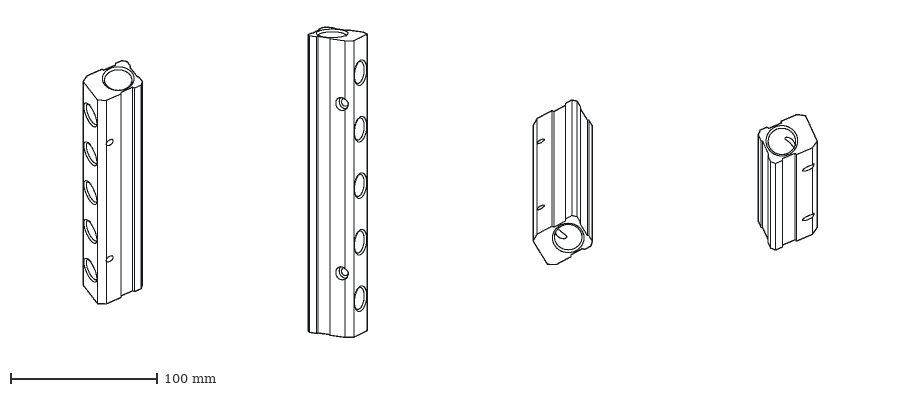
import cadquery as cq

length = 210.0
width = 26.0
depth = 35.0
half_width = width / 2
front_chamfer_x = 3.2
front_chamfer_y = 5.0
back_chamfer = 2.5

side_channel_depth = 1.3
side_channel_start = 16.8
side_channel_end = 27.3
side_channel_slope = 0.6
back_channel_depth = 0.8
back_channel_half_floor = 5.0
back_channel_half_mouth = 5.7

bore_diameter = 18.7
bore_mouth_diameter = 21.6
bore_y = 22.0

port_count = 5
port_pitch = 40.0
port_diameter = 15.1
port_mouth_diameter = 17.6

mount_pitch = 120.0
mount_y = 7.8
mount_diameter = 5.5
counterbore_diameter = 9.0
counterbore_depth = 5.0


def make_bar():
    """Extrude the symmetric bar section along Z."""
    channel_x = half_width - side_channel_depth
    right_half = [
        (half_width - front_chamfer_x, 0),
        (half_width, front_chamfer_y),
        (half_width, side_channel_start),
        (channel_x, side_channel_start + side_channel_slope),
        (channel_x, side_channel_end - side_channel_slope),
        (half_width, side_channel_end),
        (half_width, depth - back_chamfer),
        (half_width - back_chamfer, depth),
        (back_channel_half_mouth, depth),
        (back_channel_half_floor, depth - back_channel_depth),
    ]
    left_half = [(-x, y) for x, y in reversed(right_half)]
    return cq.Workplane("XY").polyline(right_half + left_half).close().extrude(length)


def countersunk_cutter(point, direction, diameter, mouth_diameter, reach):
    """Cylinder with a 45 degree cone at its mouth."""
    origin = cq.Vector(*point)
    axis = cq.Vector(*direction)
    sink_depth = (mouth_diameter - diameter) / 2
    cylinder = cq.Solid.makeCylinder(diameter / 2, reach, origin, axis)
    cone = cq.Solid.makeCone(mouth_diameter / 2, diameter / 2, sink_depth, origin, axis)
    return cylinder.fuse(cone)


def cut_bore(body):
    """Cut the through bore, countersunk at both ends."""
    for z, direction in ((0, 1), (length, -1)):
        cutter = countersunk_cutter(
            (0, bore_y, z), (0, 0, direction), bore_diameter, bore_mouth_diameter, length
        )
        body = body.cut(cutter)
    return body


def cut_ports(body):
    """Cut the countersunk front ports, each ending at the bore axis."""
    for index in range(port_count):
        z = length / 2 + (index - (port_count - 1) / 2) * port_pitch
        cutter = countersunk_cutter(
            (0, 0, z), (0, 1, 0), port_diameter, port_mouth_diameter, bore_y
        )
        body = body.cut(cutter)
    return body


def cut_mounting_holes(body):
    """Cut the cross holes between ports, counterbored on the -X side."""
    axis = cq.Vector(1, 0, 0)
    for z in (length / 2 - mount_pitch / 2, length / 2 + mount_pitch / 2):
        origin = cq.Vector(-half_width, mount_y, z)
        hole = cq.Solid.makeCylinder(mount_diameter / 2, width, origin, axis)
        counterbore = cq.Solid.makeCylinder(counterbore_diameter / 2, counterbore_depth, origin, axis)
        body = body.cut(hole).cut(counterbore)
    return body


result = cut_mounting_holes(cut_ports(cut_bore(make_bar())))